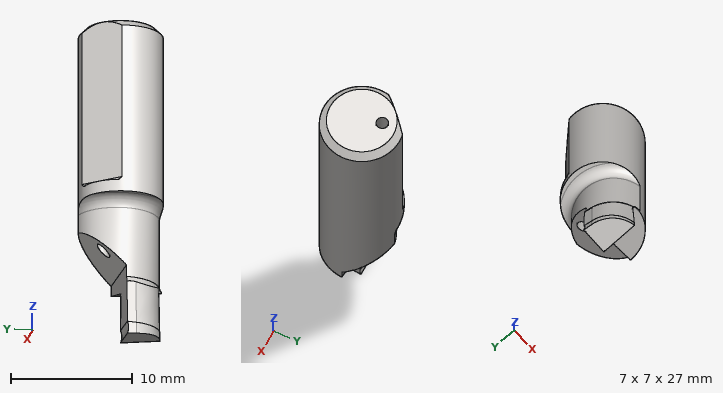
import cadquery as cq
import math

total_height = 27.0
shank_diameter = 6.998
shank_radius = shank_diameter / 2
top_chamfer = 0.6

flat_distance = 2.92
flat_floor_z = 13.0
flat_ramp_width = 0.14
flat_ramp_height = 0.25

coolant_x = -0.6
coolant_y = 1.6
coolant_diameter = 1.03

waist_shift = 1.4
waist_top_z = 12.0
waist_fillet = 0.97
flare_start_z = 5.05
flare_angle = 24.0

cutting_face_top_z = 6.05

shoulder_z = 4.25
shoulder_angle = 15.0
shoulder_relief_angle = 5.0
relief_angle = 7.0

neck_left_x = -2.4
neck_right_x = 0.14
neck_flat_depth = 0.78
neck_arc_radius = 2.97
neck_draft = 1.2

tip_height = 1.05
chip_groove_depth = 0.1

reach = 2 * total_height

relief_slope = math.tan(math.radians(relief_angle))


def make_blank():
    """Full round shank with a chamfered top."""
    blank = cq.Workplane("XY").circle(shank_radius).extrude(total_height)
    return blank.faces(">Z").chamfer(top_chamfer)


def make_flat_cutter():
    """Prism that cuts the clamping flat and the short ramp at its lower end."""
    ramp_outer = flat_distance + flat_ramp_width
    direction = cq.Plane(origin=(0, 0, 0), xDir=(-1, 1, 0), normal=(1, 1, 0))
    outline = [
        (flat_distance, reach),
        (flat_distance, flat_floor_z + flat_ramp_height),
        (ramp_outer, flat_floor_z),
        (reach, flat_floor_z),
        (reach, reach),
    ]
    return cq.Workplane(direction).polyline(outline).close().extrude(shank_diameter, both=True)


def make_waist_cutter():
    """Ring outside the waist, rounded into the shank at its top and flaring at its lower end."""
    flare_radius = 2 * shank_radius
    flare_drop = (flare_radius - shank_radius) / math.tan(math.radians(flare_angle))
    profile = (
        cq.Workplane("XZ")
        .moveTo(flare_radius, flare_start_z - flare_drop)
        .lineTo(shank_radius, flare_start_z)
        .lineTo(shank_radius, waist_top_z - waist_fillet)
        .radiusArc((shank_radius + waist_fillet, waist_top_z), waist_fillet)
        .lineTo(flare_radius, waist_top_z)
        .close()
    )
    ring = profile.revolve(360, (0, 0, 0), (0, 1, 0))
    return ring.translate((waist_shift, 0, 0))


def make_face_cutter():
    """Everything in front of the cutting face and its 45 degree run-out."""
    outline = [
        (0, -reach),
        (0, cutting_face_top_z),
        (reach, cutting_face_top_z + reach),
        (reach, -reach),
    ]
    return cq.Workplane("YZ").polyline(outline).close().extrude(reach, both=True)


def make_shoulder_cutter():
    """Space below the shoulder plane, which rises toward +X and toward -Y."""
    shoulder_slope = math.tan(math.radians(shoulder_angle))
    shoulder_relief_slope = math.tan(math.radians(shoulder_relief_angle))
    plane = cq.Plane(
        origin=(0, 0, shoulder_z),
        xDir=(1, 0, shoulder_slope),
        normal=(-shoulder_slope, shoulder_relief_slope, 1),
    )
    return cq.Workplane(plane).rect(reach, reach).extrude(-reach)


def make_neck_clearance():
    """Space on the -X side below the waist, which only the neck occupies."""
    clearance = cq.Workplane("XY").rect(reach, reach).extrude(flare_start_z)
    return clearance.translate((-reach / 2, 0, 0))


def make_neck():
    """Drafted neck, from the relieved end up into the waist, behind the cutting face."""
    angle = math.radians(relief_angle)
    arc_start_x = neck_left_x + neck_flat_depth * relief_slope
    center_x = arc_start_x + neck_arc_radius * math.cos(angle)
    center_y = -neck_flat_depth + neck_arc_radius * math.sin(angle)
    arc_end_y = center_y - math.sqrt(neck_arc_radius**2 - (neck_right_x - center_x) ** 2)
    margin = 0.55
    neck = (
        cq.Workplane("XY")
        .moveTo(neck_left_x - margin * relief_slope, margin)
        .lineTo(arc_start_x, -neck_flat_depth)
        .radiusArc((neck_right_x, arc_end_y), -neck_arc_radius)
        .lineTo(neck_right_x, margin)
        .close()
        .extrude(cutting_face_top_z, taper=neck_draft)
    )
    end_relief = (
        cq.Workplane("YZ")
        .polyline([(reach, -reach * relief_slope), (-reach, reach * relief_slope), (-reach, -reach)])
        .close()
        .extrude(reach, both=True)
    )
    return neck.cut(end_relief).cut(make_face_cutter())


def make_tip_region():
    """Block that holds the tip part of the neck."""
    return cq.Workplane("XY").rect(reach, reach).extrude(tip_height)


def make_holder():
    """Shank, waist and the upper part of the neck."""
    shank = make_blank().cut(make_flat_cutter()).cut(make_waist_cutter())
    shank = shank.cut(make_shoulder_cutter()).cut(make_neck_clearance()).cut(make_face_cutter())
    neck = make_neck().cut(make_tip_region()).cut(make_waist_cutter())
    coolant_hole = (
        cq.Workplane("XY").center(coolant_x, coolant_y).circle(coolant_diameter / 2).extrude(total_height)
    )
    return shank.union(neck).cut(coolant_hole)


def make_tip():
    """Cutting tip with a shallow round chip groove."""
    tip = make_neck().intersect(make_tip_region())
    chip_groove = (
        cq.Workplane("YZ")
        .moveTo(0, 0)
        .threePointArc((-chip_groove_depth, tip_height / 2), (0, tip_height))
        .close()
        .extrude(reach, both=True)
    )
    return tip.cut(chip_groove)


holder = make_holder()
tip = make_tip()
result = cq.Compound.makeCompound([holder.val(), tip.val()])